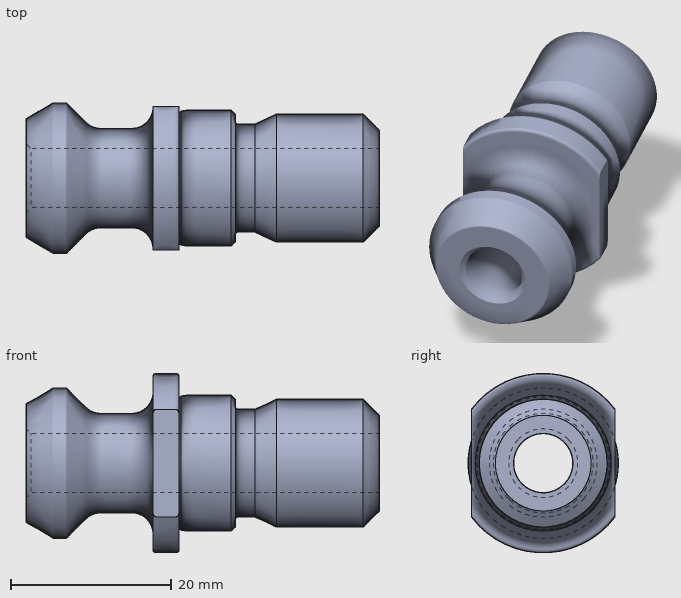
import cadquery as cq
import math

length = 44.1
bore_diameter = 7.35
bore_chamfer = 0.6

nose_radius = 14.8 / 2
nose_edge_round = 0.2
head_radius = 18.8 / 2
head_start = 3.4
head_end = 5.05
head_edge_round = 0.25

waist_radius = 12.45 / 2
waist_round = 2.6

flange_radius = 22.4 / 2
flange_start = 15.85
flange_end = 19.1
flange_edge_round = 0.4
across_flats = 17.95

relief_radius = 16.6 / 2
relief_end = 19.35
collar_radius = 17.0 / 2
collar_end = 26.1
collar_lead_in = 0.7
relief_step = 0.1
collar_chamfer = 0.55

neck_radius = 13.5 / 2
neck_corner_round = 0.35
neck_end = 28.6
tail_radius = 16.0 / 2
tail_start = 31.27
tail_chamfer = 2.05

cone_angle = math.radians(45)
arc_run = waist_round * math.sin(cone_angle)
arc_rise = waist_round * (1 - math.cos(cone_angle))
cone_foot_radius = waist_radius + arc_rise
cone_foot = head_end + (head_radius - cone_foot_radius) / math.tan(cone_angle)
waist_start = cone_foot + arc_run
waist_end = flange_start - waist_round


def turned(profile):
    """Revolve a half profile in the XY plane about the X axis."""
    return profile.close().revolve(360, (0, 0, 0), (1, 0, 0))


def round_rim(body, station, radius, size):
    """Round the circular edge at the given station and radius."""
    reach = 0.02
    box = cq.selectors.BoxSelector(
        (station - reach, -radius - reach, -radius - reach),
        (station + reach, radius + reach, radius + reach),
        boundingbox=True,
    )
    return body.edges(box).edges(cq.selectors.RadiusNthSelector(-1)).fillet(size)


def make_head_and_waist():
    body = turned(
        cq.Workplane("XY")
        .lineTo(0, nose_radius)
        .lineTo(head_start, head_radius)
        .lineTo(head_end, head_radius)
        .lineTo(cone_foot, cone_foot_radius)
        .tangentArcPoint((waist_start, waist_radius), relative=False)
        .lineTo(waist_end, waist_radius)
        .tangentArcPoint((flange_start, waist_radius + waist_round), relative=False)
        .lineTo(flange_start, 0)
    )
    body = round_rim(body, 0, nose_radius, nose_edge_round)
    body = round_rim(body, head_start, head_radius, head_edge_round)
    return round_rim(body, head_end, head_radius, head_edge_round)


def make_flange():
    width = flange_end - flange_start
    disc = cq.Workplane("YZ", origin=(flange_start, 0, 0)).circle(flange_radius).extrude(width)
    disc = disc.edges().fillet(flange_edge_round)
    flats = cq.Workplane("XY").box(length, across_flats, 2 * flange_radius)
    return disc.intersect(flats.translate((length / 2, 0, 0)))


def make_collar_and_tail():
    return turned(
        cq.Workplane("XY")
        .moveTo(flange_end, 0)
        .lineTo(flange_end, relief_radius)
        .lineTo(relief_end, relief_radius)
        .lineTo(relief_end, relief_radius + relief_step)
        .lineTo(relief_end + collar_lead_in, collar_radius)
        .lineTo(collar_end - collar_chamfer, collar_radius)
        .lineTo(collar_end, collar_radius - collar_chamfer)
        .lineTo(collar_end, neck_radius + neck_corner_round)
        .tangentArcPoint((collar_end + neck_corner_round, neck_radius), relative=False)
        .lineTo(neck_end, neck_radius)
        .lineTo(tail_start, tail_radius)
        .lineTo(length - tail_chamfer, tail_radius)
        .lineTo(length, tail_radius - tail_chamfer)
        .lineTo(length, 0)
    )


def make_bore():
    bore_radius = bore_diameter / 2
    return turned(
        cq.Workplane("XY")
        .lineTo(0, bore_radius + bore_chamfer)
        .lineTo(bore_chamfer, bore_radius)
        .lineTo(length, bore_radius)
        .lineTo(length, 0)
    )


outside = make_head_and_waist().union(make_flange()).union(make_collar_and_tail())
result = outside.cut(make_bore())